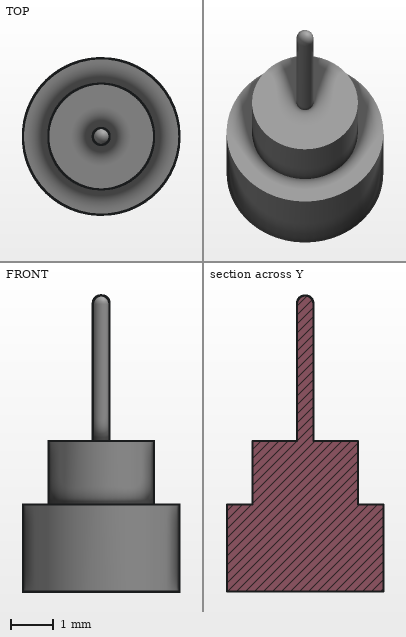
import cadquery as cq

total_height = 7.0
base_diameter = 3.7
base_height = 2.065
collar_diameter = 2.5
collar_top = 3.56
pin_diameter = 0.4

pin_radius = pin_diameter / 2
dome_start = total_height - pin_radius


def cylinder(diameter, bottom, top):
    """Cylinder on the Z axis between two heights."""
    return cq.Workplane("XY").workplane(offset=bottom).circle(diameter / 2).extrude(top - bottom)


base = cylinder(base_diameter, 0, base_height)
collar = cylinder(collar_diameter, base_height, collar_top)

pin = cylinder(pin_diameter, collar_top, dome_start)
tip = cq.Workplane("XY").sphere(pin_radius).translate((0, 0, dome_start))

result = base.union(collar).union(pin).union(tip)